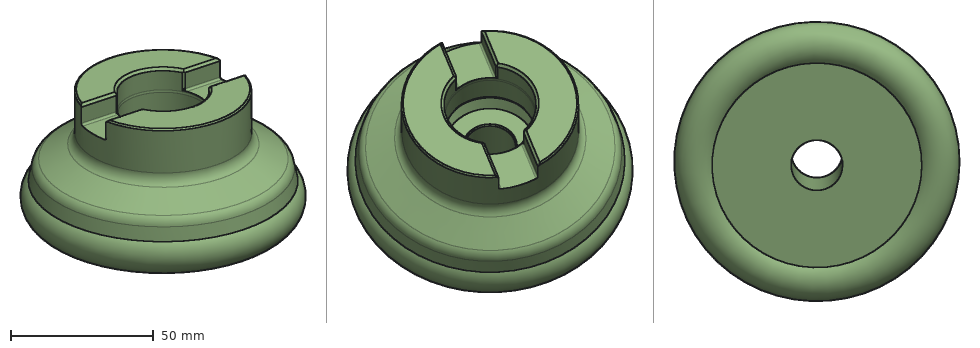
import cadquery as cq
import math

outer_diameter = 99.95
ring_tube_radius = 8.0
ring_centre_radius = outer_diameter / 2 - ring_tube_radius

hub_top = 50.0
hub_bottom = 2.0
neck_radius = 31.0
shoulder_radius = 45.6
shoulder_height = 21.6
shoulder_slope = math.radians(30)
flank_taper = math.radians(12)
blend_radius = 5.0
rim_chamfer = 0.6

pilot_radius = 32.0 / 2
entry_radius = 32.2 / 2
entry_chamfer = 1.0
entry_end = 41.6
pilot_start = 40.7
pilot_end = 30.3
chamber_radius = 18.2
chamber_top = 26.6
chamber_land = 0.3
bore_floor = 22.8
through_radius = 18.0 / 2
through_chamfer = 0.5

slot_width = 14.5
slot_depth = 8.0
slot_chamfer = 1.0
slot_corner_radius = 0.8
slot_mouth_chamfer = 0.6


def make_ring():
    return (
        cq.Workplane("XZ")
        .center(ring_centre_radius, ring_tube_radius)
        .circle(ring_tube_radius)
        .revolve(360, (-ring_centre_radius, 0, 0), (-ring_centre_radius, 1, 0))
    )


def make_hub_blank():
    """Neck, sloped shoulder and tapered flank, ending inside the ring's tube."""
    cone_top = shoulder_height + (shoulder_radius - neck_radius) * math.tan(shoulder_slope)
    flank_drop = shoulder_height - ring_tube_radius
    flank_end_radius = shoulder_radius + flank_drop * math.tan(flank_taper)

    neck_setback = blend_radius * math.tan((math.pi / 2 - shoulder_slope) / 2)
    shoulder_turn = math.pi / 2 - shoulder_slope - flank_taper
    shoulder_setback = blend_radius * math.tan(shoulder_turn / 2)

    def on_cone(radius, height, distance):
        """Point moved outward and down the shoulder slope by distance."""
        return (
            radius + distance * math.cos(shoulder_slope),
            height - distance * math.sin(shoulder_slope),
        )

    neck_blend_start = (neck_radius, cone_top + neck_setback)
    neck_blend_end = on_cone(neck_radius, cone_top, neck_setback)
    shoulder_blend_start = on_cone(shoulder_radius, shoulder_height, -shoulder_setback)
    shoulder_blend_end = (
        shoulder_radius + shoulder_setback * math.sin(flank_taper),
        shoulder_height - shoulder_setback * math.cos(flank_taper),
    )
    return (
        cq.Workplane("XZ")
        .moveTo(0, hub_bottom)
        .lineTo(0, hub_top)
        .lineTo(neck_radius - rim_chamfer, hub_top)
        .lineTo(neck_radius, hub_top - rim_chamfer)
        .lineTo(*neck_blend_start)
        .tangentArcPoint(neck_blend_end, relative=False)
        .lineTo(*shoulder_blend_start)
        .tangentArcPoint(shoulder_blend_end, relative=False)
        .lineTo(flank_end_radius, ring_tube_radius)
        .lineTo(ring_centre_radius, ring_tube_radius)
        .lineTo(ring_centre_radius, hub_bottom)
        .close()
        .revolve(360, (0, 0, 0), (0, 1, 0))
    )


def make_bore():
    chamber_bottom = chamber_top - chamber_land
    profile = [
        (0, hub_top),
        (entry_radius + entry_chamfer, hub_top),
        (entry_radius, hub_top - entry_chamfer),
        (entry_radius, entry_end),
        (pilot_radius, pilot_start),
        (pilot_radius, pilot_end),
        (chamber_radius, chamber_top),
        (chamber_radius, chamber_bottom),
        (pilot_radius, bore_floor),
        (through_radius + through_chamfer, bore_floor),
        (through_radius, bore_floor - through_chamfer),
        (through_radius, hub_bottom),
        (0, hub_bottom),
    ]
    return cq.Workplane("XZ").polyline(profile).close().revolve(360, (0, 0, 0), (0, 1, 0))


def make_slot():
    """Slot with rounded floor corners and chamfered top edges."""
    half_width = slot_width / 2
    floor = hub_top - slot_depth
    corner_top = floor + slot_corner_radius
    floor_half_width = half_width - slot_corner_radius
    return (
        cq.Workplane("XZ")
        .moveTo(-floor_half_width, floor)
        .lineTo(floor_half_width, floor)
        .tangentArcPoint((half_width, corner_top), relative=False)
        .lineTo(half_width, hub_top - slot_chamfer)
        .lineTo(half_width + slot_chamfer, hub_top)
        .lineTo(-half_width - slot_chamfer, hub_top)
        .lineTo(-half_width, hub_top - slot_chamfer)
        .lineTo(-half_width, corner_top)
        .tangentArcPoint((-floor_half_width, floor), relative=False)
        .close()
        .extrude(neck_radius, both=True)
    )


def make_mouth_cutters():
    """Prisms that break the four upright corners where the slot walls meet the bore."""
    mouth_x = slot_width / 2
    mouth_y = math.sqrt(entry_radius**2 - mouth_x**2)
    bore_angle = math.atan2(mouth_y, mouth_x) - slot_mouth_chamfer / entry_radius
    bore_point = (entry_radius * math.cos(bore_angle), entry_radius * math.sin(bore_angle))
    triangle = [
        (mouth_x, mouth_y + slot_mouth_chamfer),
        bore_point,
        (mouth_x, mouth_y - slot_mouth_chamfer),
    ]
    cutters = cq.Workplane("XY")
    for side_x in (-1, 1):
        for side_y in (-1, 1):
            corner = [(side_x * x, side_y * y) for x, y in triangle]
            prism = (
                cq.Workplane("XY")
                .workplane(offset=hub_top - slot_depth)
                .polyline(corner)
                .close()
                .extrude(slot_depth)
            )
            cutters = cutters.add(prism)
    return cutters.combine()


ring = make_ring()
hub = make_hub_blank().cut(ring).cut(make_bore()).cut(make_slot())
hub = hub.cut(make_mouth_cutters())

result = cq.Compound.makeCompound([hub.val(), ring.val()])